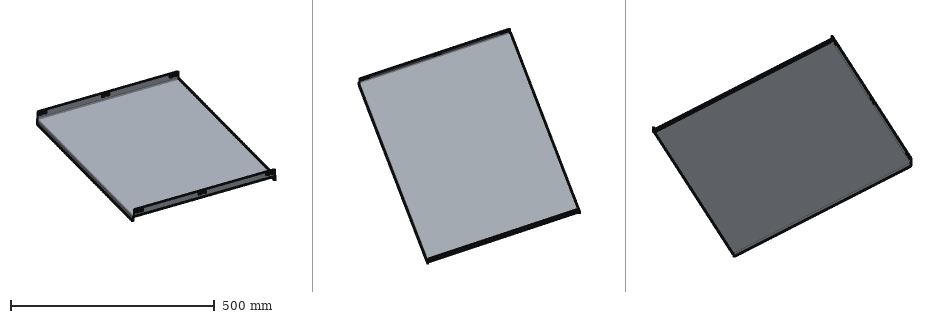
import cadquery as cq

length = 506.0
width = 396.0
height = 35.5
drop = 13.5
rise = height - drop

sheet = 1.0
inner_radius = 1.0
bend_radius = sheet + inner_radius

side_inset = 2.0
side_corner_radius = 5.0
lip_inset = 1.5
lip_corner_radius = 6.0

hole_z = 14.0
hole_diameter = 6.5
slot_length = 7.5
hole_spacing = 12.5
end_hole_y = width / 2 - 10.0
side_holes = [
    (-end_hole_y, slot_length),
    (-end_hole_y + hole_spacing, slot_length),
    (-hole_spacing, slot_length),
    (0, hole_diameter),
    (end_hole_y - hole_spacing, slot_length),
    (end_hole_y, slot_length),
]


def bent_flange(reach, flange_height, span, corner_radius):
    """Bend and upright flange on the +X side, with rounded free corners."""
    start = reach - bend_radius
    flange = (
        cq.Workplane("XZ")
        .moveTo(start, 0)
        .radiusArc((reach, bend_radius), -bend_radius)
        .lineTo(reach, flange_height)
        .lineTo(reach - sheet, flange_height)
        .lineTo(reach - sheet, bend_radius)
        .radiusArc((start, sheet), inner_radius)
        .close()
        .extrude(span / 2, both=True)
    )
    return flange.edges("|X and >Z").fillet(corner_radius)


def make_floor():
    """Flat floor, ending where the bends begin."""
    inner_length = length - 2 * bend_radius
    inner_width = width - 2 * bend_radius
    return cq.Workplane("XY").box(inner_length, inner_width, sheet, centered=(True, True, False))


def make_side_flange():
    """Upward flange along Y, pierced by the holes."""
    flange = bent_flange(length / 2, rise, width - 2 * side_inset, side_corner_radius)
    for y, hole_length in side_holes:
        hole = cq.Workplane("YZ", origin=(length / 2 - sheet, y, hole_z))
        if hole_length > hole_diameter:
            hole = hole.slot2D(hole_length, hole_diameter)
        else:
            hole = hole.circle(hole_diameter / 2)
        flange = flange.cut(hole.extrude(sheet))
    return flange


def make_lip():
    """Downward lip along X."""
    lip = bent_flange(width / 2, drop + sheet, length - 2 * lip_inset, lip_corner_radius)
    return lip.rotate((0, 0, 0), (0, 0, 1), 90).mirror("XY").translate((0, 0, sheet))


side_flange = make_side_flange()
lip = make_lip()
result = (
    make_floor()
    .union(side_flange)
    .union(side_flange.mirror("YZ"))
    .union(lip)
    .union(lip.mirror("XZ"))
)